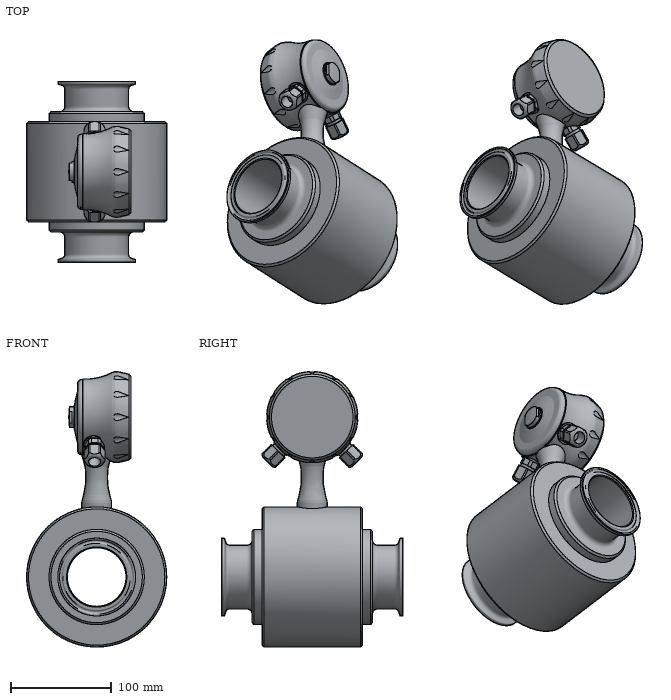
import cadquery as cq
import math

BODY_DIAMETER = 139.7
BODY_LENGTH = 100.0
HUB_DIAMETER = 95.0
HUB_LENGTH = 120.0
EDGE_CHAMFER = 2.0
TUBE_LENGTH = 180.4
PIPE_DIAMETER = 63.75
BORE_DIAMETER = 58.3
PIPE_FILLET = 5.0

FERRULE_DIAMETER = 77.5
FERRULE_RIM = 2.85
FERRULE_RIM_FILLET = 0.8
FERRULE_SLOPE = 18.0
FERRULE_FILLET = 3.5
SEAL_GROOVE_DIAMETER = 70.6
SEAL_GROOVE_WIDTH = 3.6
SEAL_GROOVE_DEPTH = 1.4
SEAL_GROOVE_FILLET = 0.5
BORE_CHAMFER = 0.9

SELECT_MARGIN = 0.05

NECK_FOOT_DIAMETER = 30.0
NECK_DIAMETER = 22.0
NECK_SHOULDER_DIAMETER = 26.6
NECK_ROUND_DIAMETER = 29.2
NECK_FOOT_BOTTOM = 60.0
NECK_FOOT_TOP = 73.7
NECK_ROUND_Z = 76.4
NECK_SHOULDER_Z = 81.2
NECK_WAIST_Z = 97.0
NECK_WAIST_TOP_Z = 101.0
NECK_FLARE_Z = 109.6
NECK_FLARE_DIAMETER = 23.2
NECK_TOP_DIAMETER = 32.0
NECK_TOP_Z = 126.0

HOUSING_Z = 159.23
BACK_RIM_X = -14.2
WAIST_START_X = -13.4
WAIST_START_RADIUS = 38.1
BACK_FACE_X = -19.0
BACK_RIM_RADIUS = 37.6
BACK_RIM_FILLET = 4.2
BACK_FACE_RADIUS = 26.2
BACK_CONE_RADIUS = 15.7
BACK_CONE_X = -21.6
BACK_HUB_X = -22.2
COVER_JOINT_X = 15.3
COVER_JOINT_RADIUS = 44.5
WAIST_RADIUS = 39.5
WAIST_X = 2.0
COVER_RADIUS = 45.5
COVER_CROWN_START_X = 18.7
COVER_CROWN_END_X = 21.0
COVER_EDGE_X = 32.0
COVER_EDGE_RADIUS = 42.8
COVER_FACE_X = 34.3
COVER_FACE_RADIUS = 81.2 / 2

GRIP_COUNT = 12
GRIP_START_X = 16.9
GRIP_START_RADIUS = 44.95
GRIP_TIP_X = 31.8
GRIP_TIP_RADIUS = 42.9
GRIP_CONE_ANGLE = 60.0
GRIP_CONE_LENGTH = 14.0

PLUG_COLLAR_DIAMETER = 23.5
PLUG_COLLAR_X = -22.8
PLUG_DIAMETER = 21.0
PLUG_END_X = -27.2
PLUG_TIP_X = -27.9
PLUG_FLATS = 17.5
PLUG_FLATS_END_X = -24.4

GLAND_X = -2.0
GLAND_ANGLE = 45.0
GLAND_START = 30.0
GLAND_BOSS_DIAMETER = 22.0
GLAND_BOSS_END = 38.8
GLAND_BASE_END = 45.0
GLAND_BASE_FLATS = 18.0
GLAND_BASE_DIAMETER = 19.2
GLAND_COLLAR_DIAMETER = 16.0
GLAND_NUT_START = 47.9
GLAND_NUT_END = 63.1
GLAND_NUT_FLATS = 19.0
GLAND_NUT_DIAMETER = 21.0
GLAND_NUT_ROUNDING = 3.6
GLAND_NUT_END_RADIUS = 5.0
GLAND_HOLE_DIAMETER = 12.0
GLAND_HOLE_DEPTH = 14.0


def cylinder_y(diameter, length):
    return cq.Workplane("XZ", origin=(0, length / 2, 0)).circle(diameter / 2).extrude(length)


def flow_tube():
    body = cylinder_y(BODY_DIAMETER, BODY_LENGTH).edges().chamfer(EDGE_CHAMFER)
    hub = cylinder_y(HUB_DIAMETER, HUB_LENGTH).edges().chamfer(EDGE_CHAMFER)
    tube = body.union(hub)
    end = ferruled_pipe()
    return tube.union(end).union(end.mirror("XZ"))


def circles_at(y, reach):
    """Selector for the circular edges in the plane at this Y, up to this radius."""
    near = (-reach, y - SELECT_MARGIN, -reach)
    far = (reach, y + SELECT_MARGIN, reach)
    return cq.selectors.BoxSelector(near, far, True)


def ferruled_pipe():
    """Solid pipe end on the +Y side, turned about the Y axis."""
    hub_face = HUB_LENGTH / 2
    end_face = TUBE_LENGTH / 2
    pipe = PIPE_DIAMETER / 2
    rim = FERRULE_DIAMETER / 2
    rim_back = end_face - FERRULE_RIM
    slope_end = rim_back - (rim - pipe) * math.tan(math.radians(FERRULE_SLOPE))
    profile = (
        cq.Workplane("XY")
        .moveTo(0, 0)
        .lineTo(0, end_face)
        .lineTo(rim, end_face)
        .lineTo(rim, rim_back)
        .lineTo(pipe, slope_end)
        .lineTo(pipe, hub_face + PIPE_FILLET)
        .radiusArc((pipe + PIPE_FILLET, hub_face), -PIPE_FILLET)
        .lineTo(pipe + PIPE_FILLET, 0)
        .close()
    )
    solid = profile.revolve(360, (0, 0, 0), (0, 1, 0))
    solid = solid.edges(circles_at(rim_back, rim + SELECT_MARGIN)).fillet(FERRULE_RIM_FILLET)
    solid = solid.edges(circles_at(slope_end, rim)).fillet(FERRULE_FILLET)
    groove_half = SEAL_GROOVE_WIDTH / 2
    groove_reach = SEAL_GROOVE_DIAMETER / 2 + groove_half + SELECT_MARGIN
    groove = (
        cq.Workplane("XY")
        .moveTo(SEAL_GROOVE_DIAMETER / 2 - groove_half, end_face)
        .threePointArc(
            (SEAL_GROOVE_DIAMETER / 2, end_face - SEAL_GROOVE_DEPTH),
            (SEAL_GROOVE_DIAMETER / 2 + groove_half, end_face),
        )
        .close()
        .revolve(360, (0, 0, 0), (0, 1, 0))
    )
    solid = solid.cut(groove)
    return solid.edges(circles_at(end_face, groove_reach)).fillet(SEAL_GROOVE_FILLET)


def neck():
    foot = NECK_FOOT_DIAMETER / 2
    shoulder = NECK_SHOULDER_DIAMETER / 2
    waist = NECK_DIAMETER / 2
    slope = (shoulder - NECK_ROUND_DIAMETER / 2, NECK_SHOULDER_Z - NECK_ROUND_Z)
    return (
        cq.Workplane("XZ")
        .moveTo(0, NECK_FOOT_BOTTOM)
        .lineTo(foot, NECK_FOOT_BOTTOM)
        .lineTo(foot, NECK_FOOT_TOP)
        .spline([(NECK_ROUND_DIAMETER / 2, NECK_ROUND_Z)], tangents=[(0, 1), slope], includeCurrent=True)
        .lineTo(shoulder, NECK_SHOULDER_Z)
        .spline([(waist, NECK_WAIST_Z)], tangents=[slope, (0, 1)], includeCurrent=True)
        .lineTo(waist, NECK_WAIST_TOP_Z)
        .tangentArcPoint((NECK_FLARE_DIAMETER / 2, NECK_FLARE_Z), relative=False)
        .lineTo(NECK_TOP_DIAMETER / 2, NECK_TOP_Z)
        .lineTo(0, NECK_TOP_Z)
        .close()
        .revolve(360, (0, 0, 0), (0, 1, 0))
    )


def housing():
    fillet_corner = math.sqrt(0.5) * BACK_RIM_FILLET
    return (
        cq.Workplane("XZ")
        .moveTo(PLUG_TIP_X, 0)
        .lineTo(PLUG_END_X, PLUG_DIAMETER / 2)
        .lineTo(PLUG_COLLAR_X, PLUG_DIAMETER / 2)
        .lineTo(PLUG_COLLAR_X, PLUG_COLLAR_DIAMETER / 2)
        .lineTo(BACK_HUB_X, PLUG_COLLAR_DIAMETER / 2)
        .lineTo(BACK_CONE_X, BACK_CONE_RADIUS)
        .lineTo(BACK_FACE_X, BACK_FACE_RADIUS)
        .lineTo(BACK_FACE_X, BACK_RIM_RADIUS - BACK_RIM_FILLET)
        .threePointArc(
            (
                BACK_FACE_X + BACK_RIM_FILLET - fillet_corner,
                BACK_RIM_RADIUS - BACK_RIM_FILLET + fillet_corner,
            ),
            (BACK_FACE_X + BACK_RIM_FILLET, BACK_RIM_RADIUS),
        )
        .lineTo(BACK_RIM_X, BACK_RIM_RADIUS)
        .lineTo(WAIST_START_X, WAIST_START_RADIUS)
        .threePointArc((WAIST_X, WAIST_RADIUS), (COVER_JOINT_X, COVER_JOINT_RADIUS))
        .lineTo(COVER_CROWN_START_X, COVER_RADIUS)
        .lineTo(COVER_CROWN_END_X, COVER_RADIUS)
        .lineTo(COVER_EDGE_X, COVER_EDGE_RADIUS)
        .lineTo(COVER_FACE_X, COVER_FACE_RADIUS)
        .lineTo(COVER_FACE_X, 0)
        .close()
        .revolve(360, (0, 0, 0), (1, 0, 0))
        .cut(plug_flats())
        .cut(grips())
        .translate((0, 0, HOUSING_Z))
    )


def plug_flats():
    """Material removed beside the two wrench flats of the plug."""
    length = PLUG_FLATS_END_X - PLUG_TIP_X
    plane = cq.Workplane("YZ").workplane(offset=PLUG_TIP_X)
    around = plane.circle(PLUG_COLLAR_DIAMETER).extrude(length)
    between_flats = plane.rect(PLUG_FLATS, 2 * PLUG_COLLAR_DIAMETER).extrude(length)
    return around.cut(between_flats)


def grips():
    """Conical scallops spaced evenly around the cover, each tapering to a tip near the cover edge."""
    floor_angle = math.degrees(math.atan2(GRIP_START_RADIUS - GRIP_TIP_RADIUS, GRIP_TIP_X - GRIP_START_X))
    axis_angle = math.radians(floor_angle + GRIP_CONE_ANGLE / 2)
    end_radius = GRIP_CONE_LENGTH * math.tan(math.radians(GRIP_CONE_ANGLE / 2))
    apex = cq.Vector(GRIP_TIP_X, 0, GRIP_TIP_RADIUS)
    direction = cq.Vector(-math.cos(axis_angle), 0, math.sin(axis_angle))
    cone = cq.Solid.makeCone(0, end_radius, GRIP_CONE_LENGTH, apex, direction)
    cutters = cq.Workplane("XY")
    for index in range(GRIP_COUNT):
        cutters.add(cone.rotate(cq.Vector(0, 0, 0), cq.Vector(1, 0, 0), index * 360 / GRIP_COUNT))
    return cutters.combine()


def hexagon_bar(flats, start, end):
    """Hexagonal bar along Z with corners toward +X and -X."""
    across_corners = flats / math.cos(math.radians(30))
    return cq.Workplane("XY").workplane(offset=start).polygon(6, across_corners).extrude(end - start)


def round_bar(diameter, start, end):
    return cq.Workplane("XY").workplane(offset=start).circle(diameter / 2).extrude(end - start)


def gland_nut():
    """Hexagon trimmed by a round envelope whose end curves in to the cable hole."""
    radius = GLAND_NUT_DIAMETER / 2
    envelope = (
        cq.Workplane("XZ")
        .moveTo(0, GLAND_NUT_START)
        .lineTo(radius, GLAND_NUT_START)
        .lineTo(radius, GLAND_NUT_END - GLAND_NUT_ROUNDING)
        .radiusArc((GLAND_HOLE_DIAMETER / 2, GLAND_NUT_END), -GLAND_NUT_END_RADIUS)
        .lineTo(0, GLAND_NUT_END)
        .close()
        .revolve(360, (0, 0, 0), (0, 1, 0))
    )
    return hexagon_bar(GLAND_NUT_FLATS, GLAND_NUT_START, GLAND_NUT_END).intersect(envelope)


def cable_gland(side):
    """Gland pointing away from the housing axis, toward +Y (side 1) or -Y (side -1)."""
    boss = round_bar(GLAND_BOSS_DIAMETER, GLAND_START, GLAND_BOSS_END)
    base = hexagon_bar(GLAND_BASE_FLATS, GLAND_START, GLAND_BASE_END)
    base = base.intersect(round_bar(GLAND_BASE_DIAMETER, GLAND_START, GLAND_BASE_END))
    collar = round_bar(GLAND_COLLAR_DIAMETER, GLAND_START, GLAND_NUT_START)
    gland = boss.union(base).union(collar).union(gland_nut())
    gland = gland.faces(">Z").workplane().hole(GLAND_HOLE_DIAMETER, GLAND_HOLE_DEPTH)
    tilt = -side * (90 + GLAND_ANGLE)
    return gland.rotate((0, 0, 0), (1, 0, 0), tilt).translate((GLAND_X, 0, HOUSING_Z))


def bore():
    """Through bore with a chamfered mouth at each end."""
    through = cylinder_y(BORE_DIAMETER, TUBE_LENGTH)
    end_face = TUBE_LENGTH / 2
    bore_radius = BORE_DIAMETER / 2
    mouth = cq.Solid.makeCone(
        bore_radius + BORE_CHAMFER, bore_radius, BORE_CHAMFER, cq.Vector(0, end_face, 0), cq.Vector(0, -1, 0)
    )
    mouth = cq.Workplane("XY").add(mouth)
    return through.union(mouth).union(mouth.mirror("XZ"))


result = flow_tube().union(neck()).union(housing())
for gland_side in (1, -1):
    result = result.union(cable_gland(gland_side))
result = result.cut(bore())